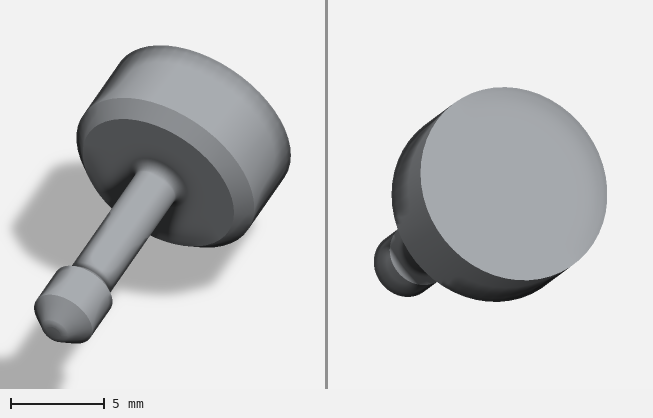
import cadquery as cq
import math

total_length = 17.0
head_radius = 10.7 / 2
head_length = 5.0
head_chamfer = 0.8
shaft_radius = 2.5 / 2
bulb_radius = 3.5 / 2
bulb_length = 2.31
nose_length = 1.1
nose_radius = bulb_radius - nose_length
blend_radius = 0.5

bulb_front = nose_length
bulb_back = bulb_front + bulb_length
head_face = total_length - head_length

sin_45 = math.sin(math.radians(45))
blend_rise = blend_radius * (1 - sin_45)
cone_start_radius = shaft_radius + blend_rise
cone_start = bulb_back + bulb_radius - cone_start_radius
shaft_front = cone_start + blend_radius * sin_45
neck_mid_angle = math.radians(22.5)
neck_mid = (
    shaft_radius + blend_radius * (1 - math.cos(neck_mid_angle)),
    shaft_front - blend_radius * math.sin(neck_mid_angle),
)

root_mid = (
    shaft_radius + blend_radius * (1 - sin_45),
    head_face - blend_radius * (1 - sin_45),
)

profile = (
    cq.Workplane("XY")
    .moveTo(0, 0)
    .lineTo(nose_radius, 0)
    .lineTo(bulb_radius, bulb_front)
    .lineTo(bulb_radius, bulb_back)
    .lineTo(cone_start_radius, cone_start)
    .threePointArc(neck_mid, (shaft_radius, shaft_front))
    .lineTo(shaft_radius, head_face - blend_radius)
    .threePointArc(root_mid, (shaft_radius + blend_radius, head_face))
    .lineTo(head_radius - head_chamfer, head_face)
    .lineTo(head_radius, head_face + head_chamfer)
    .lineTo(head_radius, total_length)
    .lineTo(0, total_length)
    .close()
)
turned_body = profile.revolve(360, (0, 0, 0), (0, 1, 0))

result = turned_body.faces("<Y").edges().fillet(blend_radius)